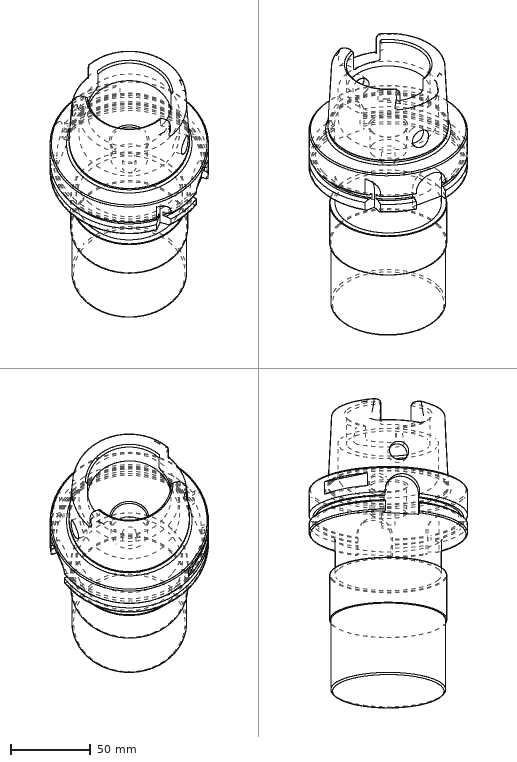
import cadquery as cq
import math


total_height = 183.0
flange_top = 133.0
flange_bottom = 103.8
collar_top = 77.0
collar_bottom = 47.2

nose_radius = 36.2
nose_chamfer = 1.1
collar_radius = 37.0
collar_chamfer = 0.4
neck_radius = 33.5
neck_fillet = 4.4

flange_radius = 50.0
flange_chamfer = 1.0
groove_radius = 46.0
groove_top = 114.7
groove_bottom = 111.6
groove_wall_rise = 1.5
groove_ledge_radius = 47.5

taper_slope = 1 / 20
taper_base = 135.8
taper_base_radius = 38.0
taper_top_radius = taper_base_radius - taper_slope * (total_height - taper_base)
undercut_radius = 37.7
undercut_top = 135.2
undercut_bottom = 134.0
undercut_flare_radius = 39.5

mouth_chamfer = 1.3
mouth_radius = 26.4
mouth_depth = 19.4
chamber_radius = 31.7
chamber_depth = 47.0
chamber_fillet = 6.8
tube_hole_radius = 11.5
tube_hole_chamfer = 1.0
tube_hole_depth = 18.3
coolant_radius = 4.2
coolant_depth = 9.2

rim_fillet = 1.8
slot_width = 20.0
slot_half_width = slot_width / 2
slot_corner_radius = 5.1
slot_bulge_distance = 32.4
left_slot_floor = 168.0
right_slot_floor = 172.8
slot_floor_fillet = 1.8

cross_hole_diameter = 12.3
cross_hole_height = 147.5

keyway_radius = 11.0
keyway_floor = 44.5
keyway_top = 128.3
notch_radius = 10.0
notch_floor = 31.7
notch_wall = 31.5
notch_top = 128.6
flat_distance = 47.2
flat_angle = 135.0
flat_bottom = 120.8
flat_top = 129.0

reach = 54.9

arc_sag = 1 - math.sqrt(0.5)


def outer_body():
    """Solid of revolution without any holes."""
    fillet_middle = neck_fillet * arc_sag
    rim_middle = rim_fillet * arc_sag
    return (
        cq.Workplane("XZ")
        .moveTo(0, 0)
        .lineTo(nose_radius - nose_chamfer, 0)
        .lineTo(nose_radius, nose_chamfer)
        .lineTo(nose_radius, collar_bottom - collar_chamfer)
        .lineTo(collar_radius, collar_bottom)
        .lineTo(collar_radius, collar_top - collar_chamfer)
        .lineTo(collar_radius - collar_chamfer, collar_top)
        .lineTo(neck_radius, collar_top)
        .lineTo(neck_radius, flange_bottom - neck_fillet)
        .threePointArc(
            (neck_radius + fillet_middle, flange_bottom - fillet_middle),
            (neck_radius + neck_fillet, flange_bottom),
        )
        .lineTo(flange_radius - flange_chamfer, flange_bottom)
        .lineTo(flange_radius, flange_bottom + flange_chamfer)
        .lineTo(flange_radius, groove_bottom - groove_wall_rise)
        .lineTo(groove_ledge_radius, groove_bottom)
        .lineTo(groove_radius, groove_bottom)
        .lineTo(groove_radius, groove_top)
        .lineTo(groove_ledge_radius, groove_top)
        .lineTo(flange_radius, groove_top + groove_wall_rise)
        .lineTo(flange_radius, flange_top - flange_chamfer)
        .lineTo(flange_radius - flange_chamfer, flange_top)
        .lineTo(undercut_flare_radius, flange_top)
        .lineTo(undercut_radius, undercut_bottom)
        .lineTo(undercut_radius, undercut_top)
        .lineTo(taper_base_radius, taper_base)
        .lineTo(taper_top_radius + taper_slope * rim_fillet, total_height - rim_fillet)
        .threePointArc(
            (taper_top_radius - rim_middle, total_height - rim_middle),
            (taper_top_radius - rim_fillet, total_height),
        )
        .lineTo(0, total_height)
        .close()
        .revolve(360, (0, 0, 0), (0, 1, 0))
    )


def bore():
    """Mouth, wider chamber with rounded floor, then the tube and coolant holes."""
    step = total_height - mouth_depth
    floor = total_height - chamber_depth
    tube_floor = floor - tube_hole_depth
    coolant_floor = tube_floor - coolant_depth
    fillet_middle = chamber_fillet * arc_sag
    return (
        cq.Workplane("XZ")
        .moveTo(0, coolant_floor)
        .lineTo(coolant_radius, coolant_floor)
        .lineTo(coolant_radius, tube_floor)
        .lineTo(tube_hole_radius, tube_floor)
        .lineTo(tube_hole_radius, floor - tube_hole_chamfer)
        .lineTo(tube_hole_radius + tube_hole_chamfer, floor)
        .lineTo(chamber_radius - chamber_fillet, floor)
        .threePointArc(
            (chamber_radius - fillet_middle, floor + fillet_middle),
            (chamber_radius, floor + chamber_fillet),
        )
        .lineTo(chamber_radius, step)
        .lineTo(mouth_radius, step)
        .lineTo(mouth_radius, total_height)
        .lineTo(0, total_height)
        .close()
        .revolve(360, (0, 0, 0), (0, 1, 0))
    )


def mouth_chamfer_cone():
    """Cone that bevels the bore edge at the rim."""
    return cq.Workplane(
        cq.Solid.makeCone(
            mouth_radius,
            mouth_radius + mouth_chamfer,
            mouth_chamfer,
            pnt=cq.Vector(0, 0, total_height - mouth_chamfer),
        )
    )


def rim_slot(side, floor):
    """Cutter for one driving slot; side is +1 or -1 along X.

    Each slot wall turns outward round a corner until it runs square to the radius
    through the corner's centre, then carries on straight.
    """
    center_x = slot_bulge_distance - slot_corner_radius
    center_y = slot_half_width + slot_corner_radius
    end_angle = math.atan2(center_y, center_x)
    middle_angle = (end_angle - math.pi / 2) / 2
    middle_x = center_x + slot_corner_radius * math.cos(middle_angle)
    middle_y = center_y + slot_corner_radius * math.sin(middle_angle)
    end_x = center_x + slot_corner_radius * math.cos(end_angle)
    end_y = center_y + slot_corner_radius * math.sin(end_angle)
    far_x = end_x - reach * math.sin(end_angle)
    far_y = end_y + reach * math.cos(end_angle)
    return (
        cq.Workplane("XY", origin=(0, 0, floor))
        .moveTo(0, -slot_half_width)
        .lineTo(side * center_x, -slot_half_width)
        .threePointArc((side * middle_x, -middle_y), (side * end_x, -end_y))
        .lineTo(side * far_x, -far_y)
        .lineTo(side * reach, -far_y)
        .lineTo(side * reach, far_y)
        .lineTo(side * far_x, far_y)
        .lineTo(side * end_x, end_y)
        .threePointArc((side * middle_x, middle_y), (side * center_x, slot_half_width))
        .lineTo(0, slot_half_width)
        .close()
        .extrude(reach)
        .faces("<Z")
        .edges()
        .fillet(slot_floor_fillet)
    )


def slotted_envelope():
    """Block with both driving slots and rounded upper edges, which the body is trimmed to."""
    return (
        cq.Workplane("XY")
        .box(2 * reach, 2 * reach, total_height, centered=(True, True, False))
        .cut(rim_slot(-1, left_slot_floor))
        .cut(rim_slot(1, right_slot_floor))
        .faces(">Z")
        .edges()
        .fillet(rim_fillet)
    )


def arched_cutter(side, floor, center_y, radius, top):
    """Round-topped slot along X, open downward, cutting outward from its floor."""
    arch_center = top - radius
    below = flange_bottom - neck_fillet
    return (
        cq.Workplane("YZ", origin=(side * floor, 0, 0))
        .moveTo(center_y - radius, below)
        .lineTo(center_y - radius, arch_center)
        .threePointArc((center_y, top), (center_y + radius, arch_center))
        .lineTo(center_y + radius, below)
        .close()
        .extrude(side * reach)
    )


def flange_flat():
    """Short flat milled across the flange rim."""
    height = flat_top - flat_bottom
    return (
        cq.Workplane("XY")
        .box(reach, reach, height, centered=(False, True, False))
        .translate((flat_distance, 0, flat_bottom))
        .rotate((0, 0, 0), (0, 0, 1), flat_angle)
    )


result = outer_body().intersect(slotted_envelope())
result = result.cut(bore()).cut(mouth_chamfer_cone())

cross_hole = (
    cq.Workplane("YZ", origin=(0, 0, cross_hole_height))
    .circle(cross_hole_diameter / 2)
    .extrude(reach, both=True)
)
result = result.cut(cross_hole)

for side in (-1, 1):
    result = result.cut(arched_cutter(side, keyway_floor, 0, keyway_radius, keyway_top))
notch_center = -(notch_wall + notch_radius)
result = result.cut(arched_cutter(1, notch_floor, notch_center, notch_radius, notch_top))
result = result.cut(flange_flat())